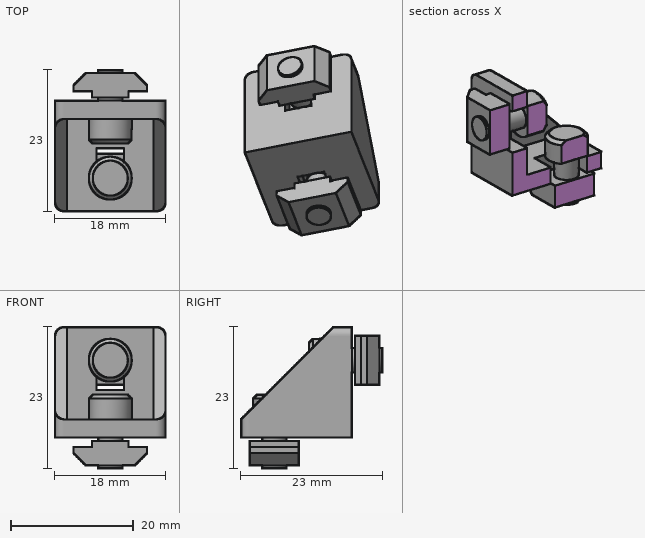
import cadquery as cq

overall = 23.0
bracket_size = 18.0
plate_thickness = 3.0
side_thickness = 2.0
corner_radius = 1.5

screw_offset = 12.6
slot_width = 4.46
slot_start = 7.77
slot_end = 15.09

head_diameter = 7.0
head_height = 4.0
head_chamfer = 0.65
shank_diameter = 4.0
shank_protrusion = overall - bracket_size

nut_gap = 0.5
nut_length = 8.0
nut_neck_width = 6.0
nut_neck_height = 1.0
nut_width = 12.0
nut_edge_height = 1.01
nut_chamfer = 2.0


def on_both_plates(shape):
    """Join a shape on the bottom plate with its copy on the back plate."""
    swapped = shape.rotate((0, 0, 0), (0, -1, 1), 180)
    return shape.union(swapped)


def make_bracket():
    """Triangular gusset block, hollowed between its two side walls."""
    outline = [
        (0, 0),
        (-bracket_size, 0),
        (-bracket_size, plate_thickness),
        (-plate_thickness, bracket_size),
        (0, bracket_size),
    ]
    block = cq.Workplane("YZ").polyline(outline).close().extrude(bracket_size / 2, both=True)
    block = block.faces("<Y").edges("|Z").fillet(corner_radius)
    block = block.faces(">Z").edges("|Y").fillet(corner_radius)
    pocket = cq.Workplane("XY").box(
        bracket_size - 2 * side_thickness, bracket_size, bracket_size, centered=(True, False, False)
    ).translate((0, -bracket_size - plate_thickness, plate_thickness))
    return block.cut(pocket)


def make_slot():
    """Rectangular slot through the bottom plate."""
    return cq.Workplane("XY").box(
        slot_width, slot_end - slot_start, plate_thickness, centered=(True, False, False)
    ).translate((0, -slot_end, 0))


def make_screw():
    """Cap screw seated on the inside of the bottom plate."""
    head = (
        cq.Workplane("XY", origin=(0, -screw_offset, plate_thickness))
        .circle(head_diameter / 2)
        .extrude(head_height)
        .faces(">Z")
        .chamfer(head_chamfer)
    )
    shank = (
        cq.Workplane("XY", origin=(0, -screw_offset, -shank_protrusion))
        .circle(shank_diameter / 2)
        .extrude(shank_protrusion + plate_thickness)
    )
    return head.union(shank)


def make_nut():
    """T-nut threaded on the shank below the bottom plate."""
    neck_top = -nut_gap
    shoulder = neck_top - nut_neck_height
    edge_bottom = shoulder - nut_edge_height
    bottom = edge_bottom - nut_chamfer
    half_outline = [
        (0, neck_top),
        (nut_neck_width / 2, neck_top),
        (nut_neck_width / 2, shoulder),
        (nut_width / 2, shoulder),
        (nut_width / 2, edge_bottom),
        (nut_width / 2 - nut_chamfer, bottom),
        (0, bottom),
    ]
    half = (
        cq.Workplane("XZ", origin=(0, -screw_offset, 0))
        .polyline(half_outline)
        .close()
        .extrude(nut_length / 2, both=True)
    )
    return half.union(half.mirror("YZ"))


bracket = make_bracket().cut(on_both_plates(make_slot()))
fasteners = on_both_plates(make_screw().union(make_nut()))
result = bracket.union(fasteners)